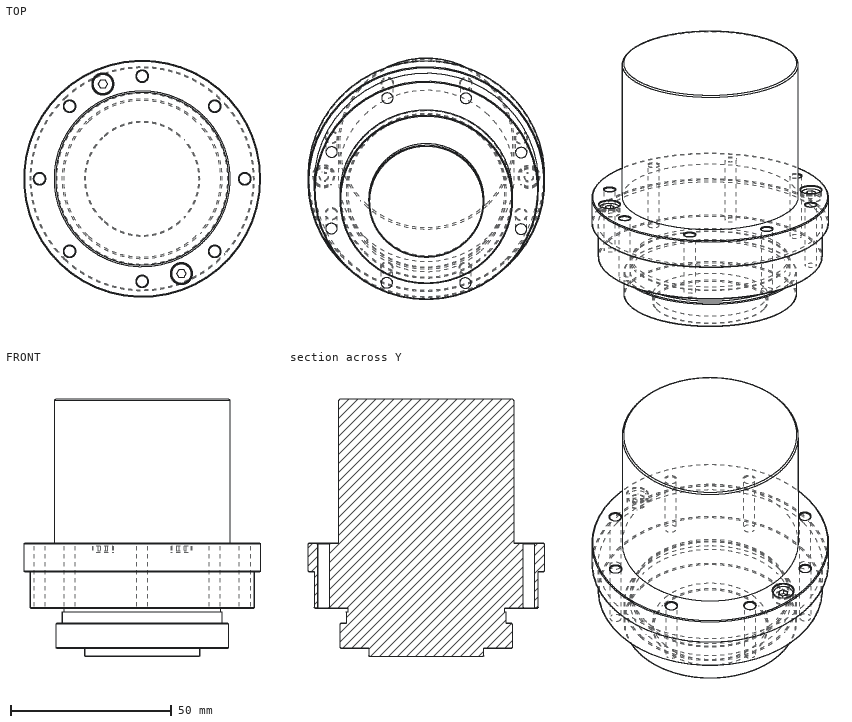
import cadquery as cq
import math

TOTAL_HEIGHT = 80.5
FLANGE_TOP = 35.5
FLANGE_BOTTOM = 26.5
BODY_BOTTOM = 15.05
NECK_BOTTOM = 14.0
COLLAR_BOTTOM = 10.5
NUT_BOTTOM = 2.6

CAP_DIAMETER = 55.0
FLANGE_DIAMETER = 74.0
BODY_DIAMETER = 70.0
NECK_DIAMETER = 49.0
COLLAR_DIAMETER = 50.0
NUT_DIAMETER = 54.0
SPIGOT_DIAMETER = 36.0

CAP_CHAMFER = 0.5
EDGE_CHAMFER = 0.3

FASTENER_CIRCLE_RADIUS = 32.0
MOUNTING_HOLE_COUNT = 8
MOUNTING_HOLE_DIAMETER = 3.5
MOUNTING_HOLE_CHAMFER = 0.25
SCREW_ANGLES = (112.5, 292.5)

RECESS_DIAMETER = 6.5
RECESS_DEPTH = 3.0
RECESS_CHAMFER = 0.2
HEAD_DIAMETER = 6.0
HEAD_SUNK_BY = 1.0
SOCKET_SIDES = 6
SOCKET_FLATS = 2.6
SOCKET_DEPTH = 1.5


def disc(diameter, bottom, top):
    """Cylinder on the Z axis between two heights."""
    return cq.Workplane("XY").workplane(offset=bottom).circle(diameter / 2).extrude(top - bottom)


def on_fastener_circle(angle):
    """XY position on the fastener circle at an angle in degrees from +X."""
    turn = math.radians(angle)
    return (FASTENER_CIRCLE_RADIUS * math.cos(turn), FASTENER_CIRCLE_RADIUS * math.sin(turn))


def make_stepped_body():
    """Coaxial steps from the bottom spigot to the cap."""
    spigot = disc(SPIGOT_DIAMETER, 0, NUT_BOTTOM).faces("<Z").chamfer(EDGE_CHAMFER)
    nut = disc(NUT_DIAMETER, NUT_BOTTOM, COLLAR_BOTTOM).edges().chamfer(EDGE_CHAMFER)
    collar = disc(COLLAR_DIAMETER, COLLAR_BOTTOM, NECK_BOTTOM)
    neck = disc(NECK_DIAMETER, NECK_BOTTOM, BODY_BOTTOM)
    body = disc(BODY_DIAMETER, BODY_BOTTOM, FLANGE_BOTTOM).faces("<Z").chamfer(EDGE_CHAMFER)
    flange = disc(FLANGE_DIAMETER, FLANGE_BOTTOM, FLANGE_TOP).edges().chamfer(EDGE_CHAMFER)
    cap = disc(CAP_DIAMETER, FLANGE_TOP, TOTAL_HEIGHT).faces(">Z").chamfer(CAP_CHAMFER)
    stack = spigot
    for step in (nut, collar, neck, body, flange, cap):
        stack = stack.union(step)
    return stack


def chamfered_hole(diameter, depth, chamfer):
    """Cutter for a hole from the origin downward, with a chamfered mouth."""
    radius = diameter / 2
    outline = [
        (0, 0),
        (radius + chamfer, 0),
        (radius, -chamfer),
        (radius, -depth),
        (0, -depth),
    ]
    return cq.Workplane("XZ").polyline(outline).close().revolve(360, (0, 0), (0, 1))


def cut_at_flange_face(part, cutter, angles):
    """Cut copies of a cutter from the flange face at angles on the fastener circle."""
    for angle in angles:
        x, y = on_fastener_circle(angle)
        part = part.cut(cutter.translate((x, y, FLANGE_TOP)))
    return part


def cut_mounting_holes(part):
    """Evenly spaced holes through the flange and the body below it."""
    angles = [index * 360 / MOUNTING_HOLE_COUNT for index in range(MOUNTING_HOLE_COUNT)]
    hole = chamfered_hole(MOUNTING_HOLE_DIAMETER, FLANGE_TOP - BODY_BOTTOM, MOUNTING_HOLE_CHAMFER)
    return cut_at_flange_face(part, hole, angles)


def cut_screw_recesses(part):
    """Recesses that leave a screw head standing inside, with a hexagon socket in its top."""
    recess = chamfered_hole(RECESS_DIAMETER, RECESS_DEPTH, RECESS_CHAMFER)
    head = disc(HEAD_DIAMETER, -RECESS_DEPTH, -HEAD_SUNK_BY)
    socket_corners = SOCKET_FLATS / math.cos(math.pi / SOCKET_SIDES)
    socket = (
        cq.Workplane("XY")
        .workplane(offset=-HEAD_SUNK_BY)
        .polygon(SOCKET_SIDES, socket_corners)
        .extrude(-SOCKET_DEPTH)
    )
    return cut_at_flange_face(part, recess.cut(head).union(socket), SCREW_ANGLES)


result = make_stepped_body()
result = cut_mounting_holes(result)
result = cut_screw_recesses(result)